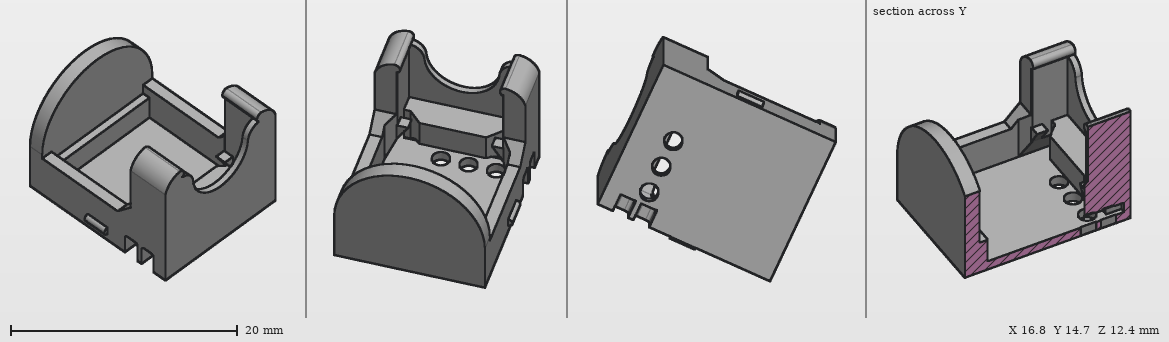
import cadquery as cq
import math

length = 16.75
half_width = 6.95
rail_top = 4.54

plate_thickness = 1.52
plate_top = 11.95
plate_arc_center_z = plate_top - half_width

floor_top = 1.0
pocket_half_width = 5.78
ledge_end_x = 2.31
ledge_top = 3.48
block_top = 4.7

arm_start_x = 12.45
arm_inner_y = 4.85
arm_shoulder_z = 10.79
arm_top = 12.4
lip_radius = 0.52
lip_center_y = 5.13
lip_center_z = arm_top - lip_radius
lip_root_z = 11.44
crown_mid_y = 6.21
crown_mid_z = 11.95
ramp_start_x = 10.85
ramp_end_z = 6.13

back_wall_x = 16.08
shoulder_radius = 1.57
shoulder_y = 5.02
back_wall_top = 11.49
cradle_rise = 0.37
shoulder_center_z = back_wall_top - shoulder_radius
cradle_center_z = shoulder_center_z + cradle_rise
cradle_radius = math.hypot(shoulder_y, cradle_center_z - shoulder_center_z) - shoulder_radius

block_front_x = 13.3
block_front_half_width = 3.08
block_chamfer = 1.17
block_shoulder_x = block_front_x + block_chamfer

tunnel_diameter = 3.15
tunnel_center_z = 0.5

wall_taper = pocket_half_width - arm_inner_y
taper_end_x = 12.53
taper_start_x = taper_end_x - wall_taper
undercut_top = 3.1
gusset_top = block_top
gusset_reach = 1.0
gusset_length = 1.07

hole_diameter = 1.62
hole_x = 13.06
hole_pitch = 2.55
middle_hole_y = -1.52

slot_ranges = [(11.75, 13.28), (13.8, 15.28)]
slot_top = 2.18
slot_inner_y = 5.3
slot_corner_radius = 0.37

latch_start_x = 7.15
latch_length = 2.45
latch_center_z = 1.17
latch_radius = 0.4


def box(x_min, x_max, y_min, y_max, z_min, z_max):
    return cq.Workplane("XY").box(
        x_max - x_min, y_max - y_min, z_max - z_min, centered=False
    ).translate((x_min, y_min, z_min))


def cross_section(x):
    """Workplane at x whose local axes are Y and Z, extruding toward +X."""
    return cq.Workplane("YZ", origin=(x, 0, 0))


def both_sides(shape):
    return shape.union(shape.mirror("XZ"))


def make_end_plate():
    return (
        cross_section(0)
        .moveTo(-half_width, 0)
        .lineTo(half_width, 0)
        .lineTo(half_width, plate_arc_center_z)
        .threePointArc((0, plate_top), (-half_width, plate_arc_center_z))
        .close()
        .extrude(plate_thickness)
    )


def make_ramps():
    """Walls rising from the rails to the arms."""
    profile = [
        (ramp_start_x, rail_top),
        (arm_start_x, ramp_end_z),
        (arm_start_x, rail_top),
    ]
    ramp = cq.Workplane("XZ", origin=(0, half_width, 0)).polyline(profile).close()
    return both_sides(ramp.extrude(half_width - arm_inner_y))


def make_arms():
    """Upright arms with a crowned top and a rounded inward lip."""
    arm = (
        cross_section(arm_start_x)
        .moveTo(arm_inner_y, 0)
        .lineTo(half_width, 0)
        .lineTo(half_width, arm_shoulder_z)
        .threePointArc((crown_mid_y, crown_mid_z), (lip_center_y, arm_top))
        .threePointArc((lip_center_y - lip_radius, lip_center_z), (arm_inner_y, lip_root_z))
        .close()
        .extrude(length - arm_start_x)
    )
    return both_sides(arm)


def make_pocket():
    """Open interior, narrowing to the gap between the arms."""
    half_outline = [
        (ledge_end_x, pocket_half_width),
        (taper_start_x, pocket_half_width),
        (taper_end_x, arm_inner_y),
        (back_wall_x, arm_inner_y),
    ]
    outline = half_outline + [(x, -y) for x, y in reversed(half_outline)]
    floor_plane = cq.Workplane("XY", origin=(0, 0, floor_top))
    pocket = floor_plane.polyline(outline).close().extrude(lip_root_z - floor_top)
    above_ledge = box(
        plate_thickness, ledge_end_x, -pocket_half_width, pocket_half_width, ledge_top, lip_root_z
    )
    return pocket.union(above_ledge)


def make_undercuts():
    """Sloped recesses widening the pocket toward the floor below the arms."""
    profile = [
        (arm_inner_y, undercut_top),
        (pocket_half_width, floor_top),
        (arm_inner_y, floor_top),
    ]
    undercut = cross_section(taper_start_x).polyline(profile).close()
    return both_sides(undercut.extrude(back_wall_x - taper_start_x))


def make_gussets():
    profile = [
        (arm_inner_y, undercut_top),
        (half_width, undercut_top),
        (half_width, gusset_top),
        (arm_inner_y - gusset_reach, gusset_top),
    ]
    return both_sides(cross_section(arm_start_x).polyline(profile).close().extrude(gusset_length))


def make_back_wall():
    """Wall whose top runs from a convex shoulder tangentially into the cradle."""
    joint_angle = math.atan2(cradle_center_z - shoulder_center_z, shoulder_y)
    middle_angle = (joint_angle + math.pi / 2) / 2

    def shoulder_point(angle, side):
        y = shoulder_y - shoulder_radius * math.cos(angle)
        return (side * y, shoulder_center_z + shoulder_radius * math.sin(angle))

    return (
        cross_section(back_wall_x)
        .moveTo(-shoulder_y, 0)
        .lineTo(shoulder_y, 0)
        .lineTo(shoulder_y, back_wall_top)
        .threePointArc(shoulder_point(middle_angle, 1), shoulder_point(joint_angle, 1))
        .threePointArc((0, cradle_center_z - cradle_radius), shoulder_point(joint_angle, -1))
        .threePointArc(shoulder_point(middle_angle, -1), (-shoulder_y, back_wall_top))
        .close()
        .extrude(length - back_wall_x)
    )


def make_block():
    shoulder_half_width = block_front_half_width + block_chamfer
    half_outline = [
        (block_front_x, block_front_half_width),
        (block_shoulder_x, shoulder_half_width),
        (block_shoulder_x, arm_inner_y),
        (back_wall_x, arm_inner_y),
    ]
    outline = half_outline + [(x, -y) for x, y in reversed(half_outline)]
    block = cq.Workplane("XY").polyline(outline).close().extrude(block_top)
    tunnel = (
        cq.Workplane("XZ", origin=(hole_x, 0, tunnel_center_z))
        .circle(tunnel_diameter / 2)
        .extrude(arm_inner_y, both=True)
    )
    below_floor = box(block_front_x, back_wall_x, -arm_inner_y, arm_inner_y, 0, floor_top)
    return block.cut(tunnel).union(below_floor)


def make_holes():
    centers = [(hole_x, middle_hole_y + i * hole_pitch) for i in (-1, 0, 1)]
    return cq.Workplane("XY").pushPoints(centers).circle(hole_diameter / 2).extrude(floor_top)


def make_wire_slot(x_min, x_max):
    slot = box(x_min, x_max, -half_width, -slot_inner_y, 0, slot_top)
    return slot.edges("|Y and >Z").fillet(slot_corner_radius)


def make_latches():
    return both_sides(
        cross_section(latch_start_x)
        .center(half_width, latch_center_z)
        .circle(latch_radius)
        .extrude(latch_length)
    )


result = box(0, length, -half_width, half_width, 0, rail_top)
result = result.union(make_ramps()).union(make_arms())
result = result.cut(make_pocket()).cut(make_undercuts())
result = result.union(make_end_plate()).union(make_back_wall())
result = result.union(make_block()).union(make_gussets())

result = result.union(make_latches())
result = result.cut(make_holes())
for slot_start, slot_end in slot_ranges:
    result = result.cut(make_wire_slot(slot_start, slot_end))